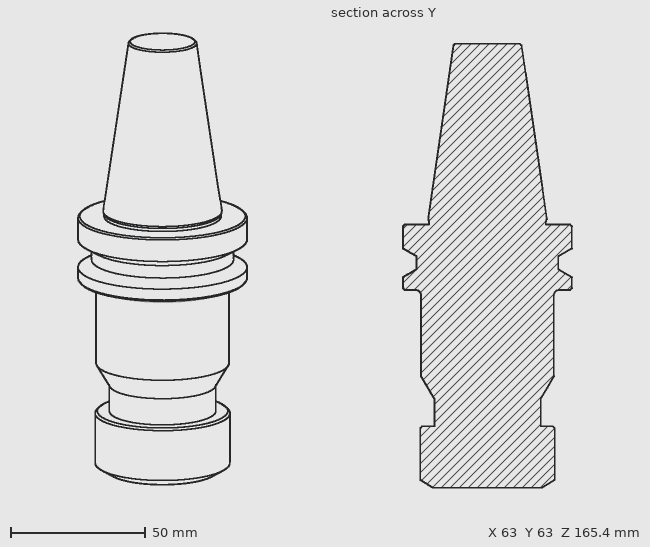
import cadquery as cq
import math

total_length = 165.4
nut_bevel_top = 3.0
nut_top = 23.0
neck_top = 33.0
body_cone_top = 41.5
flange_bottom = 73.6
groove_bottom = 81.4
groove_top = 86.2
flange_top = 98.0
taper_base = 100.0

flange_radius = 63.0 / 2
groove_radius = 53.0 / 2
body_radius = 24.8
nut_radius = 25.1
nut_face_radius = 20.3
neck_radius = 19.8
taper_base_radius = 22.2
taper_relief_radius = 21.8
taper_tip_radius = 12.7

nut_chamfer = 0.8
flange_chamfer = 0.7
body_fillet = 2.0
tip_chamfer = 0.7
relief_height = 0.8

flank_height = (flange_radius - groove_radius) * math.tan(math.radians(30))
fillet_mid_offset = body_fillet * (1 - math.sqrt(0.5))

half_section = (
    cq.Workplane("XZ")
    .lineTo(nut_face_radius, 0)
    .lineTo(nut_radius, nut_bevel_top)
    .lineTo(nut_radius, nut_top - nut_chamfer)
    .lineTo(nut_radius - nut_chamfer, nut_top)
    .lineTo(neck_radius, nut_top)
    .lineTo(neck_radius, neck_top)
    .lineTo(body_radius, body_cone_top)
    .lineTo(body_radius, flange_bottom - body_fillet)
    .threePointArc(
        (body_radius + fillet_mid_offset, flange_bottom - fillet_mid_offset),
        (body_radius + body_fillet, flange_bottom),
    )
    .lineTo(flange_radius - flange_chamfer, flange_bottom)
    .lineTo(flange_radius, flange_bottom + flange_chamfer)
    .lineTo(flange_radius, groove_bottom - flank_height)
    .lineTo(groove_radius, groove_bottom)
    .lineTo(groove_radius, groove_top)
    .lineTo(flange_radius, groove_top + flank_height)
    .lineTo(flange_radius, flange_top - flange_chamfer)
    .lineTo(flange_radius - flange_chamfer, flange_top)
    .lineTo(taper_relief_radius, flange_top)
    .lineTo(taper_relief_radius, taper_base - relief_height)
    .lineTo(taper_base_radius, taper_base)
    .lineTo(taper_tip_radius, total_length - tip_chamfer)
    .lineTo(taper_tip_radius - tip_chamfer, total_length)
    .lineTo(0, total_length)
    .close()
)

result = half_section.revolve(360, (0, 0, 0), (0, 1, 0))